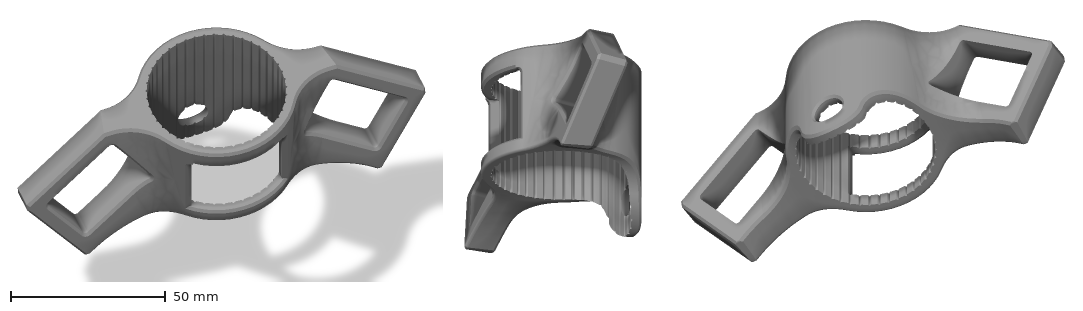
import cadquery as cq
import math

ring_radius = 26.0
ring_height = 36.0
bore_radius = 22.5

groove_count = 45
groove_depth = 0.5
groove_width = 1.1

opening_top = -6.6
opening_bottom = -31.0
opening_flat_x = 19.0
opening_width = 31.3
opening_corner_radius = 1.8

lug_drop = 53.8
lug_radius = 11.8
lug_fillet_radius = 10.3
lug_hole_diameter = 10.4
lug_center_z = lug_radius - lug_drop

wing_span = 137.2
slab_left_x = -6.3
slab_right_x = 4.3
slab_lean = 15.5
blend_radius = 16.5
wing_slope = 35
edge_tilt = 9
wing_bottom_z = -45.1
arch_radius = 46.6

window_length = 29.5
window_height = 20.6
window_center_y = 44.0
window_center_z = -22.6
window_corner_radius = 1.2
frame_wall = 5.5

edge_chamfer = 0.8

reach = 82.3
overlap = 13.7

tilt_direction = cq.Vector(math.cos(math.radians(edge_tilt)), 0, math.sin(math.radians(edge_tilt)))


def yz_plane(x=0):
    return cq.Workplane("YZ", origin=(x, 0, 0))


def extrude_tilted(outline):
    """Extrude a YZ outline both ways along the tilted direction."""
    wire = outline.val().moved(cq.Location(tilt_direction * (-reach / 2)))
    return cq.Workplane(cq.Solid.extrudeLinear(wire, [], tilt_direction * reach))


def along_wing(outward, upward):
    """Y and Z of a point given along and across the wing from the window center."""
    slope = math.radians(wing_slope)
    y = window_center_y + outward * math.cos(slope) + upward * math.sin(slope)
    z = window_center_z - outward * math.sin(slope) + upward * math.cos(slope)
    return (y, z)


def mirrored(points):
    return [(-y, z) for y, z in reversed(points)]


lug_fillet_z = -ring_height - lug_fillet_radius
fillet_center_gap = lug_radius + lug_fillet_radius
lug_fillet_y = math.sqrt(fillet_center_gap**2 - (lug_center_z - lug_fillet_z) ** 2)


def blank():
    """Ring cylinder and leaning slab, joined by concave blends, before the outline is cut."""
    low_z = -lug_drop - overlap
    high_z = overlap
    lean = math.tan(math.radians(slab_lean))
    slab = (
        cq.Workplane("XZ", origin=(0, reach, 0))
        .polyline(
            [
                (slab_left_x - high_z * lean, high_z),
                (slab_right_x - high_z * lean, high_z),
                (slab_right_x - low_z * lean, low_z),
                (slab_left_x - low_z * lean, low_z),
            ]
        )
        .close()
        .extrude(2 * reach)
    )
    cylinder = cq.Workplane("XY", origin=(0, 0, low_z)).circle(ring_radius).extrude(high_z - low_z)
    corner_box = cq.selectors.BoxSelector(
        (-ring_radius, -ring_radius, low_z + 1.4), (ring_radius, ring_radius, high_z - 1.4)
    )
    return cylinder.union(slab).edges(corner_box).edges("not(#Z or |Z)").fillet(blend_radius)


def wing_envelope():
    """Tilted prism bounded by the sloping wing tops and the wing ends."""
    top_offset = window_height / 2 + frame_wall
    end_offset = window_length / 2 + frame_wall
    top_y, top_z = along_wing(0, top_offset)
    peak_z = top_z + top_y * math.tan(math.radians(wing_slope))
    half = [along_wing(end_offset, top_offset), along_wing(end_offset, -reach / 2)]
    outline = yz_plane().polyline([(0, peak_z)] + half + mirrored(half)).close()
    return extrude_tilted(outline)


def lower_outline():
    """Prism along X: flat ring bottom, an arch under each wing, wings cut off at the span."""
    half_span = wing_span / 2
    arch_drop = -ring_height - wing_bottom_z
    arch_run = math.sqrt(arch_radius**2 - (arch_radius - arch_drop) ** 2)
    middle_angle = math.asin(arch_run / arch_radius) / 2
    middle_y = lug_fillet_y + arch_radius * math.sin(middle_angle)
    middle_z = -ring_height - arch_radius * (1 - math.cos(middle_angle))
    arch_end_y = lug_fillet_y + arch_run
    return (
        yz_plane(-reach / 2)
        .moveTo(-half_span, 0)
        .lineTo(half_span, 0)
        .lineTo(half_span, wing_bottom_z)
        .lineTo(arch_end_y, wing_bottom_z)
        .threePointArc((middle_y, middle_z), (lug_fillet_y, -ring_height))
        .lineTo(-lug_fillet_y, -ring_height)
        .threePointArc((-middle_y, middle_z), (-arch_end_y, wing_bottom_z))
        .lineTo(-half_span, wing_bottom_z)
        .close()
        .extrude(reach)
    )


def lug_outline():
    """Prism over the -X half: the round lug with a fillet up to the ring bottom on each side."""
    touch_y = lug_fillet_y * lug_radius / fillet_center_gap
    touch_z = lug_center_z + (lug_fillet_z - lug_center_z) * lug_radius / fillet_center_gap
    toward_ring = math.pi / 2
    toward_lug = math.atan2(touch_z - lug_fillet_z, touch_y - lug_fillet_y) % (2 * math.pi)
    middle = (toward_ring + toward_lug) / 2
    middle_y = lug_fillet_y + lug_fillet_radius * math.cos(middle)
    middle_z = lug_fillet_z + lug_fillet_radius * math.sin(middle)
    return (
        yz_plane(-reach / 2)
        .moveTo(lug_fillet_y, -ring_height)
        .threePointArc((middle_y, middle_z), (touch_y, touch_z))
        .threePointArc((0, -lug_drop), (-touch_y, touch_z))
        .threePointArc((-middle_y, middle_z), (-lug_fillet_y, -ring_height))
        .lineTo(-lug_fillet_y, -ring_height + overlap)
        .lineTo(lug_fillet_y, -ring_height + overlap)
        .close()
        .extrude(reach / 2)
    )


def outline_edges(body, skin, outline):
    """Edges of the body that lie on both the surface of the blank and the surface of the outline."""
    tolerance = 0.001
    skin_shell = skin.shells().val()
    outline_shell = outline.shells().val()
    on_both = []
    for edge in body.edges().vals():
        middle = cq.Vertex.makeVertex(*edge.positionAt(0.5).toTuple())
        if all(middle.distance(shape) < tolerance for shape in (skin_shell, outline_shell)):
            on_both.append(edge)
    return body.newObject(on_both)


def outer_body(skin):
    """Blank cut to the outline, with chamfered rims; the +X underside rim is rounded instead."""
    outline = lower_outline().union(lug_outline()).intersect(wing_envelope())
    body = skin.intersect(outline)
    underside = cq.selectors.BoxSelector(
        (slab_right_x + edge_chamfer, -reach, -lug_drop), (reach, reach, edge_chamfer - ring_height)
    )
    rims = outline_edges(body, skin, outline)
    chamfered = rims.filter(lambda edge: not underside.filter([edge])).chamfer(edge_chamfer)
    return outline_edges(chamfered, skin, outline).fillet(edge_chamfer)


def cut_with_chamfered_rim(body, skin, cutter, is_chamfered):
    """Cut the body and chamfer those new edges on its outer surface that pass the test."""
    cut_body = body.cut(cutter)
    return outline_edges(cut_body, skin, cutter).filter(is_chamfered).chamfer(edge_chamfer)


def bore():
    """Through cutter for the bore, with V-grooves from the bore wall outward."""
    height = 2 * reach
    cutter = cq.Workplane("XY", origin=(0, 0, -reach)).circle(bore_radius).extrude(height)
    tip_radius = bore_radius + groove_depth
    groove = (
        cq.Workplane("XY", origin=(0, 0, -reach))
        .moveTo(0, 0)
        .lineTo(-groove_width / 2, bore_radius)
        .lineTo(0, tip_radius)
        .lineTo(groove_width / 2, bore_radius)
        .close()
        .extrude(height)
    )
    grooves = [
        groove.rotate((0, 0, 0), (0, 0, 1), index * 360 / groove_count).val() for index in range(groove_count)
    ]
    return cutter.newObject([cutter.val().fuse(*grooves)])


def wing_window():
    """Tilted cutter for the rounded rectangular window of the +Y wing."""
    half_length = window_length / 2
    half_height = window_height / 2
    corners = [(-1, -1), (1, -1), (1, 1), (-1, 1)]
    points = [along_wing(along * half_length, across * half_height) for along, across in corners]
    cutter = extrude_tilted(yz_plane().polyline(points).close())
    return cutter.edges(cq.selectors.ParallelDirSelector(tilt_direction)).fillet(window_corner_radius)


def side_opening():
    """Cutter for the +X opening: a slot along X, widened to the full ring beyond a flat."""
    height = opening_top - opening_bottom
    base = cq.Workplane("XY", origin=(0, 0, opening_bottom))
    slot = base.rect(reach, opening_width).extrude(height).translate((reach / 2, 0, 0))
    widening = (
        base.rect(reach, reach)
        .extrude(height)
        .translate((opening_flat_x + reach / 2, 0, 0))
        .edges("<X and >Z")
        .fillet(opening_corner_radius)
    )
    return slot.union(widening)


def lug_hole():
    """Cutter for the hole through the lug."""
    return yz_plane(-reach).center(0, lug_center_z).circle(lug_hole_diameter / 2).extrude(reach)


def on_right_face(edge):
    """Whether an edge lies on the +X side of the leaning slab."""
    center = edge.Center()
    slab_middle_x = (slab_left_x + slab_right_x) / 2 - center.z * math.tan(math.radians(slab_lean))
    return center.x > slab_middle_x


skin = blank()
result = outer_body(skin)
for window in (wing_window(), wing_window().mirror("XZ")):
    result = cut_with_chamfered_rim(result, skin, window, on_right_face)
result = cut_with_chamfered_rim(result, skin, side_opening(), lambda edge: edge.geomType() == "CIRCLE")
result = cut_with_chamfered_rim(result, skin, lug_hole(), lambda edge: True)
result = result.cut(bore())